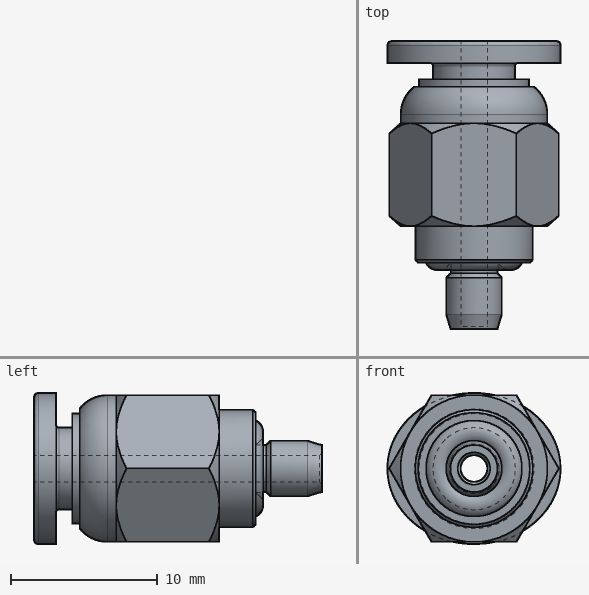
import cadquery as cq
import math


TIP_DIAMETER = 3.2
BARREL_DIAMETER = 3.8
NOZZLE_NECK_DIAMETER = 3.2
TIP_TAPER_LENGTH = 1.0
BARREL_END = 3.5
BARREL_BEVEL = (BARREL_DIAMETER - NOZZLE_NECK_DIAMETER) / 2

BORE_DIAMETER = 1.8
BORE_MOUTH_DIAMETER = 2.2

SEAL_OUTER_DIAMETER = 6.7
SEAL_INNER_DIAMETER = NOZZLE_NECK_DIAMETER
SEAL_PROTRUSION = 0.5

SPIGOT_DIAMETER = 8.0
SPIGOT_START = 4.5
SPIGOT_BEVEL = 0.2

ACROSS_FLATS = 10.0
HEX_START = 7.0
HEX_LENGTH = 7.0
HEX_BEVEL_HEIGHT = 0.7

SHOULDER_BAND_LENGTH = 0.6
DOME_HEIGHT = 1.9
DOME_RADIUS = 2.4
RING_DIAMETER = 7.5
RING_LENGTH = 0.5
SLEEVE_DIAMETER = 5.6
SLEEVE_ROOT_RADIUS = 0.2

FLANGE_WIDTH = 11.8
FLANGE_HEIGHT = 10.3
FLANGE_THICKNESS = 1.5
FLANGE_ROUNDING = 0.3
TOTAL_LENGTH = 19.6

HEX_END = HEX_START + HEX_LENGTH
BAND_END = HEX_END + SHOULDER_BAND_LENGTH
DOME_END = BAND_END + DOME_HEIGHT
RING_END = DOME_END + RING_LENGTH
FLANGE_START = TOTAL_LENGTH - FLANGE_THICKNESS


def revolve_about_y(profile):
    """Turn a closed profile of (radius, height) into a solid about the Y axis."""
    return profile.close().revolve(360, (0, 0, 0), (0, 1, 0))


def extruded_along_y(start):
    """Workplane at the given height whose extrusions run towards +Y."""
    return cq.Workplane("XZ", origin=(0, start, 0))


def make_turned_body():
    """Nozzle, spigot, shoulder, ring and sleeve as one turned profile."""
    tip = TIP_DIAMETER / 2
    barrel = BARREL_DIAMETER / 2
    neck = NOZZLE_NECK_DIAMETER / 2
    spigot = SPIGOT_DIAMETER / 2
    band = ACROSS_FLATS / 2
    ring = RING_DIAMETER / 2
    sleeve = SLEEVE_DIAMETER / 2
    dome_angle = math.asin(DOME_HEIGHT / DOME_RADIUS)
    dome_centre = band - DOME_RADIUS

    root_centre_radius = sleeve + SLEEVE_ROOT_RADIUS
    root_start = FLANGE_START - SLEEVE_ROOT_RADIUS
    root_offset = SLEEVE_ROOT_RADIUS * math.sqrt(0.5)
    root_middle = (root_centre_radius - root_offset, root_start + root_offset)

    def dome_point(angle):
        radius = dome_centre + DOME_RADIUS * math.cos(angle)
        return (radius, BAND_END + DOME_RADIUS * math.sin(angle))

    profile = (
        cq.Workplane("XY")
        .moveTo(0, 0)
        .lineTo(tip, 0)
        .lineTo(barrel, TIP_TAPER_LENGTH)
        .lineTo(barrel, BARREL_END)
        .lineTo(neck, BARREL_END + BARREL_BEVEL)
        .lineTo(neck, SPIGOT_START)
        .lineTo(spigot - SPIGOT_BEVEL, SPIGOT_START)
        .lineTo(spigot, SPIGOT_START + SPIGOT_BEVEL)
        .lineTo(spigot, HEX_START)
        .lineTo(band, HEX_START)
        .lineTo(band, BAND_END)
        .threePointArc(dome_point(dome_angle / 2), dome_point(dome_angle))
        .lineTo(ring, DOME_END)
        .lineTo(ring, RING_END)
        .lineTo(sleeve, RING_END)
        .lineTo(sleeve, root_start)
        .threePointArc(root_middle, (root_centre_radius, FLANGE_START))
        .lineTo(0, FLANGE_START)
    )
    return revolve_about_y(profile)


def make_seal():
    """Round-section ring whose crown stands proud of the spigot face."""
    section_radius = (SEAL_OUTER_DIAMETER - SEAL_INNER_DIAMETER) / 4
    ring_radius = (SEAL_OUTER_DIAMETER + SEAL_INNER_DIAMETER) / 4
    centre_height = SPIGOT_START - SEAL_PROTRUSION + section_radius
    section = cq.Workplane("XY").center(ring_radius, centre_height).circle(section_radius)
    return section.revolve(360, (-ring_radius, 0, 0), (-ring_radius, 1, 0))


def make_hexagon():
    """Hexagon with flats facing +Z and -Z and its corners bevelled at both ends."""
    corner_diameter = ACROSS_FLATS / math.cos(math.pi / 6)
    prism = extruded_along_y(HEX_START).polygon(6, corner_diameter).extrude(-HEX_LENGTH)
    flat = ACROSS_FLATS / 2
    corner = corner_diameter / 2
    envelope = revolve_about_y(
        cq.Workplane("XY")
        .moveTo(0, HEX_START)
        .lineTo(flat, HEX_START)
        .lineTo(corner, HEX_START + HEX_BEVEL_HEIGHT)
        .lineTo(corner, HEX_END - HEX_BEVEL_HEIGHT)
        .lineTo(flat, HEX_END)
        .lineTo(0, HEX_END)
    )
    return prism.intersect(envelope)


def make_flange():
    """Elliptical press plate with a rounded outer edge."""
    plate = (
        extruded_along_y(FLANGE_START)
        .ellipse(FLANGE_WIDTH / 2, FLANGE_HEIGHT / 2)
        .extrude(-FLANGE_THICKNESS)
    )
    return plate.faces(">Y").edges().fillet(FLANGE_ROUNDING)


def make_bore():
    """Through bore with a bevelled mouth at the nozzle tip."""
    bore = BORE_DIAMETER / 2
    mouth = BORE_MOUTH_DIAMETER / 2
    return revolve_about_y(
        cq.Workplane("XY")
        .moveTo(0, 0)
        .lineTo(mouth, 0)
        .lineTo(bore, mouth - bore)
        .lineTo(bore, TOTAL_LENGTH)
        .lineTo(0, TOTAL_LENGTH)
    )


result = (
    make_turned_body()
    .union(make_seal())
    .union(make_hexagon())
    .union(make_flange())
    .cut(make_bore())
)